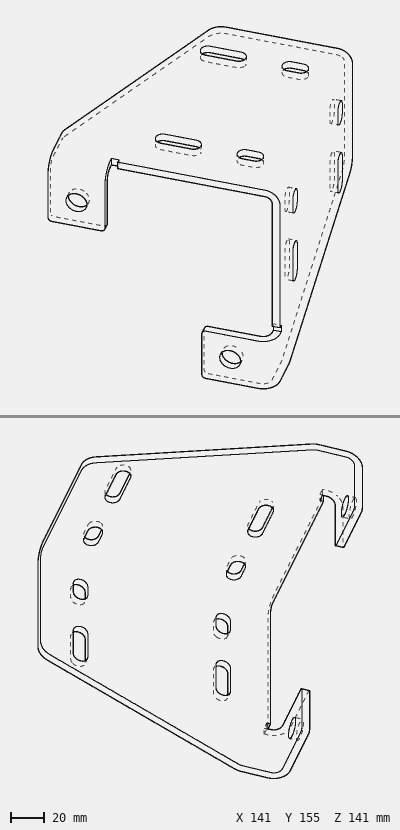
import cadquery as cq

ARM_LENGTH = 141.0
DEPTH = 155.0
THICKNESS = 5.0

MAIN_BEND_RADIUS = 9.3
TAB_BEND_RADIUS = 10.5

PLATE_FRONT = TAB_BEND_RADIUS
BACK_EDGE_LENGTH = 85.1
TAPER_START = 29.6
OUTLINE_RADIUS = 9.9

TAB_WIDTH = 35.5
TAB_DROP = 45.4
TAB_CORNER_RADIUS = 2.5
TAB_HOLE_DIAMETER = 13.0
TAB_HOLE_DROP = 27.7
RELIEF_WIDTH = 4.6
RELIEF_DEPTH = 2.3

SLOT_WIDTH = 9.0
SLOTS = ((72.5, 28.2), (27.7, 16.1))
SLOT_ROWS = (40.3, 129.9)


def make_plate():
    """Flat tapered arm, from its free end up to the main bend."""
    plate = (
        cq.Workplane("XY")
        .moveTo(-ARM_LENGTH, PLATE_FRONT)
        .lineTo(-ARM_LENGTH, TAPER_START)
        .lineTo(-BACK_EDGE_LENGTH, DEPTH)
        .lineTo(-MAIN_BEND_RADIUS, DEPTH)
        .lineTo(-MAIN_BEND_RADIUS, PLATE_FRONT)
        .close()
        .extrude(-THICKNESS)
    )
    taper_ends = ((-ARM_LENGTH, TAPER_START), (-BACK_EDGE_LENGTH, DEPTH))
    for x, y in taper_ends:
        corner = cq.selectors.NearestToPointSelector((x, y, -THICKNESS / 2))
        plate = plate.edges("|Z").edges(corner).fillet(OUTLINE_RADIUS)

    for distance, length in SLOTS:
        slots = (
            cq.Workplane("XY")
            .pushPoints([(-distance, y) for y in SLOT_ROWS])
            .slot2D(length, SLOT_WIDTH)
            .extrude(-THICKNESS)
        )
        plate = plate.cut(slots)

    relief = cq.Workplane("XY").box(
        RELIEF_WIDTH, RELIEF_DEPTH, THICKNESS, centered=False
    )
    relief_start = TAB_WIDTH - ARM_LENGTH
    return plate.cut(relief.translate((relief_start, PLATE_FRONT, -THICKNESS)))


def make_bend(plane, radius, length):
    """Quarter ring about the plane origin, in the first quadrant."""
    ring = cq.Workplane(plane).circle(radius).circle(radius - THICKNESS).extrude(length)
    quadrant = cq.Workplane(plane).rect(radius, radius, centered=False).extrude(length)
    return ring.intersect(quadrant)


def make_tab():
    """Tab bent down from the front edge at the free end of the arm."""
    bend_plane = cq.Plane(
        origin=(-ARM_LENGTH, TAB_BEND_RADIUS, -TAB_BEND_RADIUS),
        xDir=(0, 0, 1),
        normal=(1, 0, 0),
    )
    bend = make_bend(bend_plane, TAB_BEND_RADIUS, TAB_WIDTH)

    flap_height = TAB_DROP - TAB_BEND_RADIUS
    flap = (
        cq.Workplane("XY")
        .box(TAB_WIDTH, THICKNESS, flap_height, centered=False)
        .translate((-ARM_LENGTH, 0, -TAB_DROP))
        .edges("|Y and <Z")
        .fillet(TAB_CORNER_RADIUS)
    )
    hole = (
        cq.Workplane("XZ")
        .center(-ARM_LENGTH + TAB_WIDTH / 2, -TAB_HOLE_DROP)
        .circle(TAB_HOLE_DIAMETER / 2)
        .extrude(-THICKNESS)
    )
    return bend.union(flap.cut(hole))


horizontal_arm = make_plate().union(make_tab())
vertical_arm = horizontal_arm.mirror("XY").rotate((0, 0, 0), (0, 1, 0), -90)

main_bend_plane = cq.Plane(
    origin=(-MAIN_BEND_RADIUS, PLATE_FRONT, -MAIN_BEND_RADIUS),
    xDir=(0, 0, 1),
    normal=(0, 1, 0),
)
main_bend = make_bend(main_bend_plane, MAIN_BEND_RADIUS, DEPTH - PLATE_FRONT)

result = horizontal_arm.union(main_bend).union(vertical_arm)